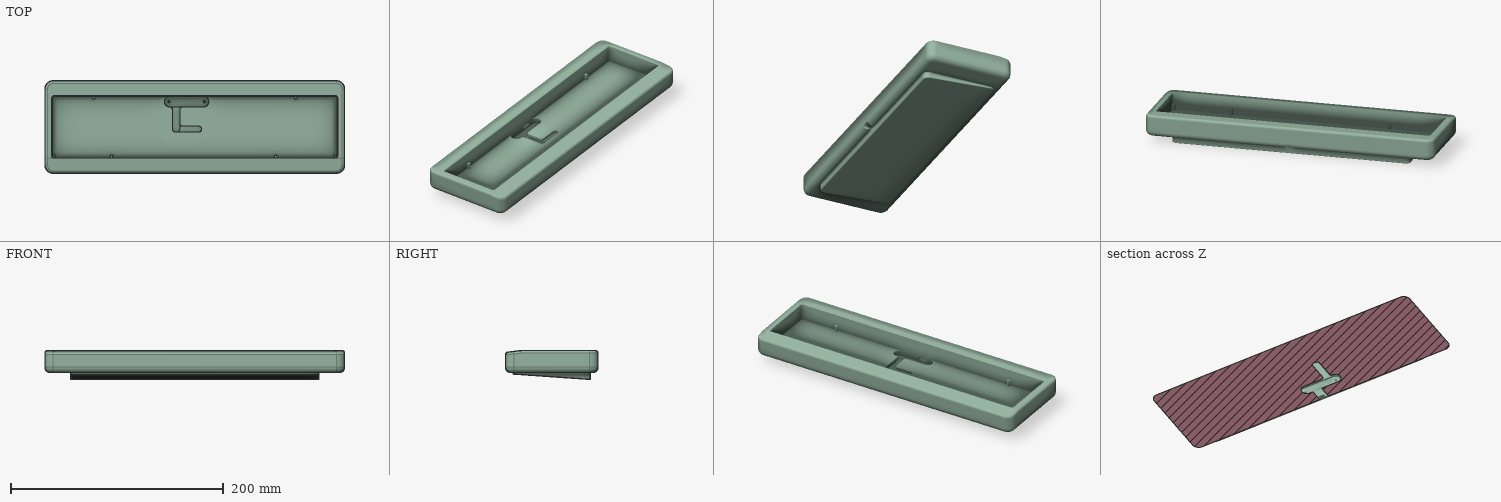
import cadquery as cq
import math

ARC_BEND = 1 - math.sqrt(0.5)

length = 281.7
width = 87.0
body_height = 20.8
corner_radius = 8.0
bottom_radius = 5.0
top_radius = 2.5

rim_width = 14.5
front_slope = 7.0

side_wall = 7.0
back_wall = 14.6
floor_thickness = 4.0
pocket_corner_radius = 2.0
rim_chamfer = 0.5

total_height = 27.3
foot_length = 233.2
foot_slope = 4.0
foot_bottom_radius = 0.5
foot_corner_radius = 5.0
foot_width = 72.7

post_diameter = 2.08
post_reach = 2.8
post_height = 5.5
post_flare = 1.63
back_post_x = 95.0
front_left_post_x = -78.0
front_right_post_x = 76.0

plate_depth = 5.5
plate_length = 41.7
plate_width = 10.1
plate_x = -7.5
screw_spacing = 33.2
screw_diameter = 2.08
screw_depth = 1.7
stem_x = -17.5
stem_width = 7.0
stem_depth = 3.7
stem_end_radius = 2.8
root_radius = 2.5
branch_width = 5.4
branch_depth = 2.3
branch_end_x = 6.5
arm_front_from_pocket_back = 33.5

port_x = -0.3
port_length = 9.3
port_height = 3.5

pocket_back = width / 2 - back_wall
pocket_front = rim_width - width / 2
pocket_half_length = length / 2 - side_wall
plate_floor = floor_thickness - plate_depth
plate_y = pocket_back - plate_width / 2
arm_front = pocket_back - arm_front_from_pocket_back


def block(x_min, x_max, y_min, y_max, z_min, z_max):
    """Axis-aligned box given by its limits."""
    size = (x_max - x_min, y_max - y_min, z_max - z_min)
    return cq.Workplane("XY").box(*size, centered=False).translate((x_min, y_min, z_min))


def make_slab(front_height, back_height):
    """Rounded slab under one flat, rounded-over top that may slope from front to back."""
    profile = [
        (-width / 2, 0),
        (width / 2, 0),
        (width / 2, back_height),
        (-width / 2, front_height),
    ]
    slab = cq.Workplane("YZ").polyline(profile).close().extrude(length / 2, both=True)
    slab = slab.edges("|Z").fillet(corner_radius)
    slab = slab.faces(">Z").edges().fillet(top_radius)
    return slab.faces("<Z").edges().fillet(bottom_radius)


def make_body():
    """Level slab cut down along the front by a sloping one."""
    slope = math.tan(math.radians(front_slope))
    sloping_slab = make_slab(
        body_height - rim_width * slope,
        body_height + (width - rim_width) * slope,
    )
    return make_slab(body_height, body_height).intersect(sloping_slab)


def make_foot():
    """Pad that deepens towards the back to tilt the body."""
    reach = foot_width / 2
    slope = math.radians(foot_slope)
    lost_to_rounding = foot_bottom_radius * (math.tan(slope) + 1 / math.cos(slope) - 1)
    back_drop = total_height - body_height + lost_to_rounding
    front_drop = back_drop - foot_width * math.tan(slope)
    overlap = floor_thickness / 2
    profile = [
        (-reach, overlap),
        (-reach, -front_drop),
        (reach, -back_drop),
        (reach, overlap),
    ]
    pad = cq.Workplane("YZ").polyline(profile).close().extrude(foot_length / 2, both=True)
    pad = pad.edges("|Z").fillet(foot_corner_radius)
    return pad.faces("<Z").edges().fillet(foot_bottom_radius)


def make_pocket():
    """Open pocket with rounded corners and bevelled back and side rims."""
    pocket = block(-pocket_half_length, pocket_half_length, pocket_front, pocket_back,
                   floor_thickness, body_height).edges("|Z").fillet(pocket_corner_radius)
    bevel = (
        cq.Workplane("XY", origin=(0, 0, body_height))
        .sketch()
        .rect(2 * (pocket_half_length + rim_chamfer), 2 * (pocket_back + rim_chamfer))
        .vertices()
        .fillet(pocket_corner_radius + rim_chamfer)
        .finalize()
        .extrude(-rim_chamfer, taper=45)
    )
    behind_slope = block(-length, length, pocket_front, width, 0, body_height)
    return pocket.union(bevel.intersect(behind_slope))


def make_post(x, wall_y, inward):
    """Round-nosed post on a wall, flared where it meets the wall."""
    radius = post_diameter / 2
    foot_half = radius + post_flare
    tip = inward * post_reach
    shoulder = inward * (post_reach - radius)
    flare_end = inward * post_flare
    bend = post_flare * ARC_BEND
    embed = -inward * post_flare
    return (
        cq.Workplane("XY", origin=(x, wall_y, floor_thickness))
        .moveTo(-foot_half, embed)
        .lineTo(-foot_half, 0)
        .threePointArc((-radius - bend, inward * bend), (-radius, flare_end))
        .lineTo(-radius, shoulder)
        .threePointArc((0, tip), (radius, shoulder))
        .lineTo(radius, flare_end)
        .threePointArc((radius + bend, inward * bend), (foot_half, 0))
        .lineTo(foot_half, embed)
        .close()
        .extrude(post_height)
    )


def make_corner_post(side):
    """Rounded block in a front corner of the pocket, flared into both walls."""
    radius = post_diameter / 2
    bend = post_flare * ARC_BEND
    flare_end = post_reach + post_flare
    tip = post_reach - radius * ARC_BEND
    embed = -post_flare
    post = (
        cq.Workplane("XY", origin=(-pocket_half_length, pocket_front, floor_thickness))
        .moveTo(embed, embed)
        .lineTo(flare_end, embed)
        .lineTo(flare_end, 0)
        .threePointArc((post_reach + bend, bend), (post_reach, post_flare))
        .lineTo(post_reach, post_reach - radius)
        .threePointArc((tip, tip), (post_reach - radius, post_reach))
        .lineTo(post_flare, post_reach)
        .threePointArc((bend, post_reach + bend), (0, flare_end))
        .lineTo(embed, flare_end)
        .close()
        .extrude(post_height)
    )
    return post if side < 0 else post.mirror("YZ")


def make_root_fillet(x, y, x_side, y_side, depth):
    """Fill that rounds an inside corner at (x, y), spreading to the given sides."""
    reach_x = x_side * root_radius
    reach_y = y_side * root_radius
    return (
        cq.Workplane("XY", origin=(x, y, floor_thickness))
        .lineTo(reach_x, 0)
        .threePointArc((reach_x * ARC_BEND, reach_y * ARC_BEND), (0, reach_y))
        .close()
        .extrude(-depth)
    )


def make_recess():
    """Board plate with a shallower stem and side branch, and two screw holes."""
    stem_left = stem_x - stem_width / 2
    stem_right = stem_x + stem_width / 2
    plate_front = plate_y - plate_width / 2
    branch_back = arm_front + branch_width
    recess = (
        cq.Workplane("XY", origin=(plate_x, plate_y, plate_floor))
        .slot2D(plate_length, plate_width)
        .extrude(plate_depth)
    )
    stem = block(stem_left, stem_right, arm_front, plate_y,
                 floor_thickness - stem_depth, floor_thickness)
    stem = stem.edges("|Z and <Y").fillet(stem_end_radius)
    branch_end = branch_end_x - stem_x
    branch_shoulder = branch_end - branch_width / 2
    branch = (
        cq.Workplane("XY", origin=(stem_x, arm_front, floor_thickness))
        .lineTo(branch_shoulder, 0)
        .threePointArc((branch_end, branch_width / 2), (branch_shoulder, branch_width))
        .lineTo(0, branch_width)
        .close()
        .extrude(-branch_depth)
    )
    screws = (
        cq.Workplane("XY", origin=(plate_x, plate_y, plate_floor))
        .rarray(screw_spacing, 2.8, 2, 1)
        .circle(screw_diameter / 2)
        .extrude(-screw_depth)
    )
    roots = [
        make_root_fillet(stem_left, plate_front, -1, -1, stem_depth),
        make_root_fillet(stem_right, plate_front, 1, -1, stem_depth),
        make_root_fillet(stem_right, branch_back, 1, 1, branch_depth),
    ]
    for piece in [stem, branch, screws] + roots:
        recess = recess.union(piece)
    return recess


def make_port():
    """Rounded slot through the back wall, above the plate."""
    return (
        cq.Workplane("XZ", origin=(port_x, pocket_back, port_height / 2))
        .slot2D(port_length, port_height)
        .extrude(-2 * back_wall)
    )


result = make_body().union(make_foot()).cut(make_pocket())
for side in (-1, 1):
    result = result.union(make_post(side * back_post_x, pocket_back, -1))
    result = result.union(make_corner_post(side))
for x in (front_left_post_x, front_right_post_x):
    result = result.union(make_post(x, pocket_front, 1))
result = result.cut(make_recess()).cut(make_port())